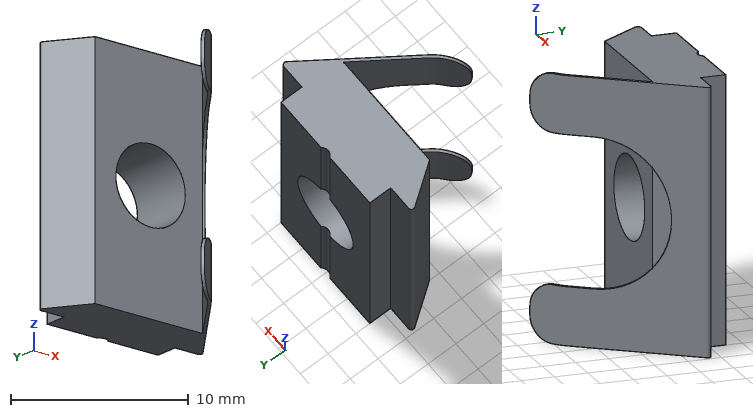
import cadquery as cq
import math

length = 16.0

neck_half_width = 4.0
neck_height = 1.5
flange_half_width = 6.0
flange_height = 2.8
flange_corner_radius = 0.2
body_height = neck_height + flange_height
hole_diameter = 5.0
groove_radius = 0.5
groove_depth = 0.2

leaf_thickness = 0.2
bend_radius = 3.0
bend_angle = math.radians(15.0)
bend_start_x = 1.08
leaf_depth = 10.0
leg_width = 3.5
tail_corner_radius = 1.5

window_radius = length / 2 - leg_width
window_center_x = 1.98

flank_angle = math.atan2(flange_height, flange_half_width - neck_half_width)
tail_angle = flank_angle - bend_angle
cutter_reach = 10.0


def extrude_section(sketch):
    return sketch.close().extrude(length / 2, both=True)


def flank_point(x):
    """Point on the line of the +X flank at the given X."""
    return (x, -body_height - (neck_half_width - x) * math.tan(flank_angle))


def outward(angle):
    """Unit normal of the outer leaf face where the leaf has the given slope."""
    return (math.sin(angle), -math.cos(angle))


def shift(point, direction, distance):
    return (point[0] + direction[0] * distance, point[1] + direction[1] * distance)


def leaf_plane(point, angle):
    """Plane on the outer leaf face: local X runs down the leaf, local Z points outwards."""
    return cq.Plane(
        origin=(point[0], point[1], 0),
        xDir=(-math.cos(angle), -math.sin(angle), 0),
        normal=(*outward(angle), 0),
    )


bend_start = flank_point(bend_start_x)
bend_center = shift(bend_start, outward(flank_angle), -bend_radius)
bend_end = shift(bend_center, outward(tail_angle), bend_radius)
tail_length = (leaf_depth + bend_end[1]) / math.sin(tail_angle)
tail_tip = shift(bend_end, (-math.cos(tail_angle), -math.sin(tail_angle)), tail_length)
window_plane = leaf_plane(flank_point(window_center_x), flank_angle)
tip_plane = leaf_plane(tail_tip, tail_angle)


def make_body():
    section = cq.Workplane("XY").polyline([
        (-neck_half_width, 0),
        (neck_half_width, 0),
        (neck_half_width, -neck_height),
        (flange_half_width, -neck_height),
        (neck_half_width, -body_height),
        (-neck_half_width, -body_height),
        (-flange_half_width, -neck_height),
        (-neck_half_width, -neck_height),
    ])
    body = extrude_section(section)
    body = body.edges("|Z and (<X or >X)").fillet(flange_corner_radius)
    groove = (
        cq.Workplane("XY")
        .center(0, groove_radius - groove_depth)
        .circle(groove_radius)
        .extrude(length / 2, both=True)
    )
    hole = cq.Workplane("XZ").circle(hole_diameter / 2).extrude(body_height)
    flank_recess = cq.Workplane(window_plane).circle(window_radius).extrude(-leaf_thickness)
    return body.cut(groove).cut(hole).cut(flank_recess)


def make_leaf():
    middle_normal = outward((flank_angle + tail_angle) / 2)
    inner_radius = bend_radius - leaf_thickness
    root = (neck_half_width, -body_height)
    inner_root = (neck_half_width - leaf_thickness / math.sin(flank_angle), -body_height)
    section = (
        cq.Workplane("XY")
        .moveTo(*root)
        .lineTo(*bend_start)
        .threePointArc(shift(bend_center, middle_normal, bend_radius), bend_end)
        .lineTo(*tail_tip)
        .lineTo(*shift(tail_tip, outward(tail_angle), -leaf_thickness))
        .lineTo(*shift(bend_center, outward(tail_angle), inner_radius))
        .threePointArc(
            shift(bend_center, middle_normal, inner_radius),
            shift(bend_center, outward(flank_angle), inner_radius),
        )
        .lineTo(*inner_root)
    )
    return extrude_section(section)


def make_window():
    round_end = cq.Workplane(window_plane).circle(window_radius).extrude(cutter_reach, both=True)
    gap = (
        cq.Workplane(window_plane)
        .center(cutter_reach / 2, 0)
        .rect(cutter_reach, 2 * window_radius)
        .extrude(cutter_reach, both=True)
    )
    return round_end.union(gap)


def make_tail_corner(edge_z, side):
    """Waste outside one rounded tail corner; side is the Z sign from leg middle to edge."""
    r = tail_corner_radius
    edge = -edge_z
    diagonal = r * (1 - math.sqrt(0.5))
    return (
        cq.Workplane(tip_plane)
        .moveTo(0, edge)
        .lineTo(-r, edge)
        .threePointArc((-diagonal, edge + side * diagonal), (0, edge + side * r))
        .close()
        .extrude(leaf_thickness, both=True)
    )


leaf = make_leaf().cut(make_window())
for leg_side in (-1, 1):
    leaf = leaf.cut(make_tail_corner(leg_side * length / 2, leg_side))
    leaf = leaf.cut(make_tail_corner(leg_side * window_radius, -leg_side))

result = make_body().union(leaf)